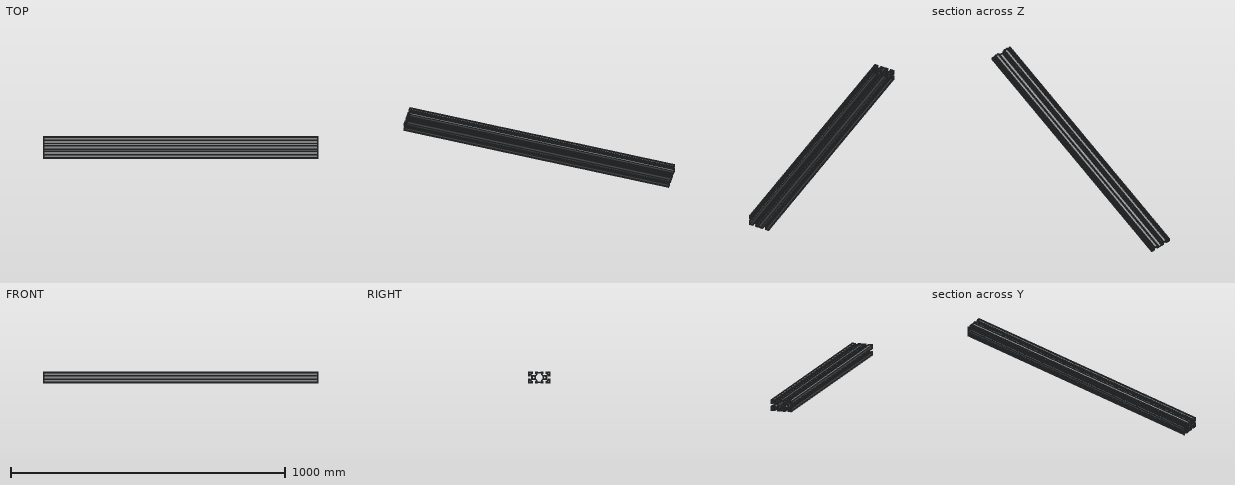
import cadquery as cq

length = 1000.0
module = 40.0
width = 2 * module
corner_radius = 3.0

mouth_width = 11.0
lip_thickness = 5.5
chamber_width = 20.0
chamber_depth = 7.0
chamber_chamfer = 3.4

recess_width = 12.0
recess_depth = 1.0

bore_diameter = 11.0

cavity_top_wall = 2.5
cavity_waist_width = 26.0
cavity_waist_height = 13.0
cavity_neck_width = 16.0
cavity_neck_start = 11.0

hollow_wall = 3.0
hollow_square_side = 6.3
hollow_arm_thickness = 2.0
hollow_arm_length = 9.5

slot_centre = module / 2
slot_depth = lip_thickness + chamber_depth
cut_clearance = 10.0
sides = (-1, 1)


def prism(points):
    """Extrude a closed (Y, Z) outline over the full length of the profile."""
    return cq.Workplane("YZ").polyline(points).close().extrude(length)


def mirrored(half_outline):
    """Complete a symmetric outline from the half on its positive first coordinate."""
    return half_outline + [(-across, other) for across, other in reversed(half_outline)]


def slot_outline():
    """Slot section as (across, depth) points, with depth measured inward from the face."""
    half_mouth = mouth_width / 2
    half_chamber = chamber_width / 2
    return mirrored([
        (half_mouth, -cut_clearance),
        (half_mouth, lip_thickness),
        (half_chamber, lip_thickness),
        (half_chamber, slot_depth - chamber_chamfer),
        (half_chamber - chamber_chamfer, slot_depth),
    ])


def recess_outline():
    """Recess section as (across, depth) points, with depth measured inward from the face."""
    return mirrored([
        (recess_width / 2, -cut_clearance),
        (recess_width / 2, recess_depth),
    ])


def cavity_outline():
    """Central cavity section as (Y, Z) points."""
    half_neck = cavity_neck_width / 2
    half_waist = cavity_waist_width / 2
    top = module / 2 - recess_depth - cavity_top_wall
    upper_right = [
        (half_neck, top),
        (half_neck, cavity_neck_start),
        (half_waist, cavity_waist_height / 2),
    ]
    lower_right = [(y, -z) for y, z in reversed(upper_right)]
    return mirrored(upper_right + lower_right)


def corner_hollow_outline():
    """L-shaped hollow as distances inward from the end face and from the broad face."""
    near = hollow_wall
    arm = near + hollow_arm_thickness
    inner = near + hollow_square_side
    tip = near + hollow_arm_length
    return [
        (near, near),
        (tip, near),
        (tip, arm),
        (inner, arm),
        (inner, inner),
        (arm, inner),
        (arm, tip),
        (near, tip),
    ]


body = (
    cq.Workplane("YZ")
    .rect(width, module)
    .extrude(length)
    .edges("|X")
    .fillet(corner_radius)
)

for side in sides:
    end_slot = [(side * (width / 2 - depth), across) for across, depth in slot_outline()]
    body = body.cut(prism(end_slot))

for face in sides:
    for side in sides:
        broad_slot = [
            (side * slot_centre + across, face * (module / 2 - depth))
            for across, depth in slot_outline()
        ]
        body = body.cut(prism(broad_slot))
    recess = [(across, face * (module / 2 - depth)) for across, depth in recess_outline()]
    body = body.cut(prism(recess))

body = body.cut(prism(cavity_outline()))

bores = (
    cq.Workplane("YZ")
    .pushPoints([(side * slot_centre, 0) for side in sides])
    .circle(bore_diameter / 2)
    .extrude(length)
)
body = body.cut(bores)

for side in sides:
    for face in sides:
        hollow = [
            (side * (width / 2 - from_end), face * (module / 2 - from_broad))
            for from_end, from_broad in corner_hollow_outline()
        ]
        body = body.cut(prism(hollow))

result = body.translate((-length / 2, 0, 0))